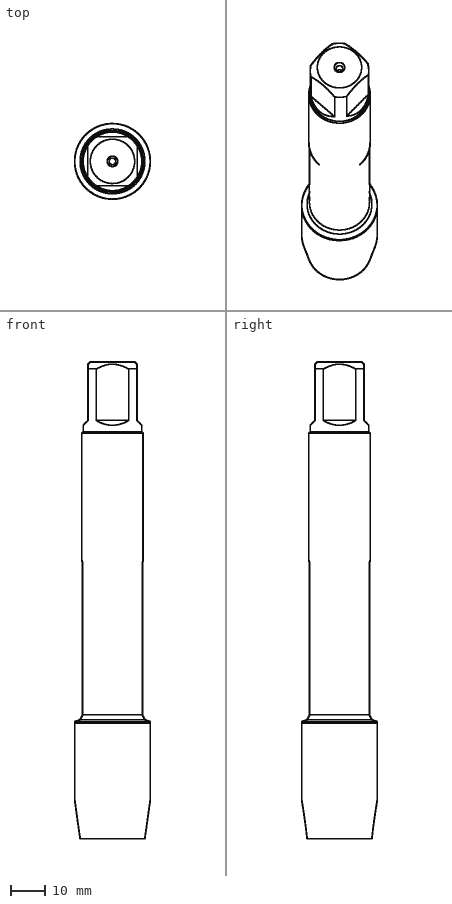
import cadquery as cq
import math

TOTAL_LENGTH = 140.0
TAPER_TOP = 11.5
CUTTER_LENGTH = 33.9
COLLAR_TOP = 34.5
SHOULDER_TOP = 35.0
NECK_BOTTOM = 36.4
NECK_TOP = 81.0
SHANK_BOTTOM = 81.8
SHANK_TOP = 119.4

TIP_DIAMETER = 19.0
CUTTER_DIAMETER = 22.3
COLLAR_DIAMETER = 22.1
SHOULDER_DIAMETER = 19.0
NECK_DIAMETER = 17.6
SHANK_DIAMETER = 18.0
DRIVE_DIAMETER = 17.2

ACROSS_FLATS = 14.4
FLAT_BOTTOM = 122.8
END_CHAMFER = 2.1
SHANK_CHAMFER = (SHANK_DIAMETER - DRIVE_DIAMETER) / 2

CENTER_DIAMETER = 2.0
CENTER_DEPTH = 4.2
COUNTERSINK_DIAMETER = 3.1
COUNTERSINK_ANGLE = 60
DRILL_POINT_ANGLE = 118


def revolve_profile(outline):
    """Solid of revolution about Z from (radius, height) points."""
    return cq.Workplane("XZ").polyline(outline).close().revolve(360, (0, 0), (0, 1))


def make_cutter():
    """Tapered lead followed by the cylindrical cutting section."""
    return revolve_profile([
        (0, 0),
        (TIP_DIAMETER / 2, 0),
        (CUTTER_DIAMETER / 2, TAPER_TOP),
        (CUTTER_DIAMETER / 2, CUTTER_LENGTH),
        (0, CUTTER_LENGTH),
    ])


def make_shank_blank():
    """Collar, shoulder cones, neck, gripping shank and round drive end."""
    drive_radius = DRIVE_DIAMETER / 2
    return revolve_profile([
        (0, CUTTER_LENGTH),
        (COLLAR_DIAMETER / 2, CUTTER_LENGTH),
        (COLLAR_DIAMETER / 2, COLLAR_TOP),
        (SHOULDER_DIAMETER / 2, SHOULDER_TOP),
        (NECK_DIAMETER / 2, NECK_BOTTOM),
        (NECK_DIAMETER / 2, NECK_TOP),
        (SHANK_DIAMETER / 2, SHANK_BOTTOM),
        (SHANK_DIAMETER / 2, SHANK_TOP - SHANK_CHAMFER),
        (drive_radius, SHANK_TOP),
        (drive_radius, TOTAL_LENGTH - END_CHAMFER),
        (drive_radius - END_CHAMFER, TOTAL_LENGTH),
        (0, TOTAL_LENGTH),
    ])


def make_flat_cutter():
    """Prism beyond the +X flat, with a 45 degree run-out at its lower end."""
    flat = ACROSS_FLATS / 2
    outside = DRIVE_DIAMETER
    return (
        cq.Workplane("XZ")
        .polyline([
            (flat, FLAT_BOTTOM),
            (outside, FLAT_BOTTOM - (outside - flat)),
            (outside, TOTAL_LENGTH),
            (flat, TOTAL_LENGTH),
        ])
        .close()
        .extrude(DRIVE_DIAMETER / 2, both=True)
    )


def cone_height(radial_step, included_angle):
    """Axial length of a cone with the given included angle."""
    return radial_step / math.tan(math.radians(included_angle / 2))


def make_center_hole():
    """Countersunk blind hole ending in a drill point."""
    hole_radius = CENTER_DIAMETER / 2
    sink_radius = COUNTERSINK_DIAMETER / 2
    sink_bottom = TOTAL_LENGTH - cone_height(sink_radius - hole_radius, COUNTERSINK_ANGLE)
    hole_bottom = TOTAL_LENGTH - CENTER_DEPTH
    return revolve_profile([
        (0, TOTAL_LENGTH),
        (sink_radius, TOTAL_LENGTH),
        (hole_radius, sink_bottom),
        (hole_radius, hole_bottom),
        (0, hole_bottom - cone_height(hole_radius, DRILL_POINT_ANGLE)),
    ])


def make_shank():
    """Shank with four drive flats and a countersunk center hole."""
    drive_end = cq.Workplane("XY").workplane(offset=SHANK_TOP).circle(DRIVE_DIAMETER / 2)
    drive_end = drive_end.extrude(TOTAL_LENGTH - SHANK_TOP)
    flat_cut = make_flat_cutter().intersect(drive_end)
    shank = make_shank_blank()
    for side in range(4):
        shank = shank.cut(flat_cut.rotate((0, 0, 0), (0, 0, 1), side * 90))
    return shank.cut(make_center_hole())


cutter = make_cutter()
shank = make_shank()
result = cq.Compound.makeCompound([cutter.val(), shank.val()])